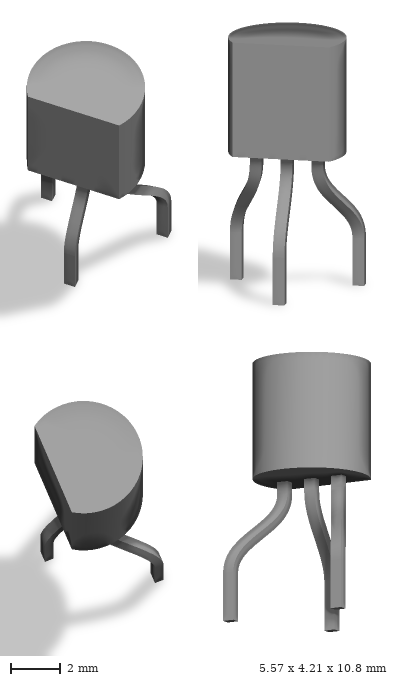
import cadquery as cq
import math

total_height = 10.8
body_height = 4.8
body_radius = 2.41
flat_distance = 1.34

lead_width = 0.49
lead_thickness = 0.38
foot_length = 2.0
neck_length = 0.5
neck_pitch = 1.27
foot_pitch = 2.54
outer_foot_y = 2.18
center_foot_y = -1.61

center_bend_reach = 1.3
outer_bend_reach = 1.48

body_bottom = total_height - body_height
bend_top = body_bottom - neck_length


def make_body():
    half_flat = math.sqrt(body_radius**2 - flat_distance**2)
    return (
        cq.Workplane("XY", origin=(0, 0, body_bottom))
        .moveTo(-half_flat, -flat_distance)
        .threePointArc((0, body_radius), (half_flat, -flat_distance))
        .close()
        .extrude(body_height)
    )


def make_lead(neck_x, foot_x, foot_y, bend_reach):
    """Sweep one lead from the body down to its foot; its path lies in one vertical plane."""
    offset_x = foot_x - neck_x
    offset = math.hypot(offset_x, foot_y)

    outward = cq.Vector(offset_x, foot_y, 0).normalized()
    path_plane = cq.Plane(
        origin=(neck_x, 0, 0),
        xDir=outward,
        normal=outward.cross(cq.Vector(0, 0, 1)),
    )
    path = (
        cq.Workplane(path_plane)
        .moveTo(0, body_bottom)
        .lineTo(0, bend_top)
        .bezier([
            (0, bend_top),
            (0, bend_top - bend_reach),
            (offset, foot_length + bend_reach),
            (offset, foot_length),
        ])
        .lineTo(offset, 0)
    )
    return (
        cq.Workplane("XY", origin=(neck_x, 0, body_bottom))
        .rect(lead_width, lead_thickness)
        .sweep(path)
    )


result = make_body().union(make_lead(0, 0, center_foot_y, center_bend_reach))
for side in (-1, 1):
    outer_lead = make_lead(side * neck_pitch, side * foot_pitch, outer_foot_y, outer_bend_reach)
    result = result.union(outer_lead)